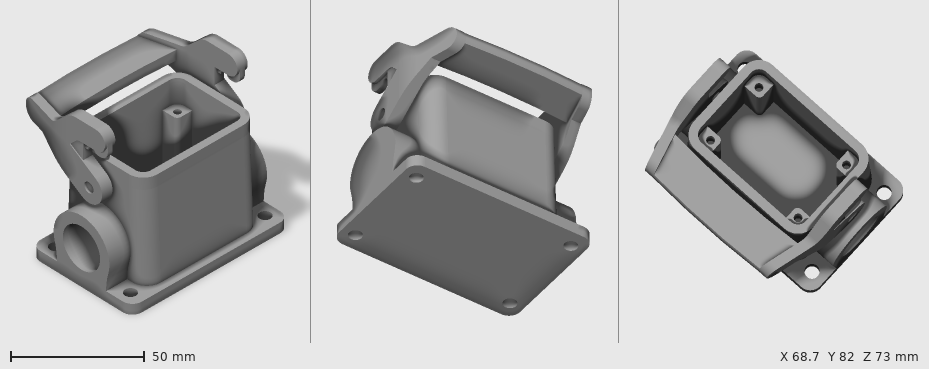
import cadquery as cq
import math

flange_x = 54.45
flange_y = 82.0
flange_thickness = 5.0
flange_corner_radius = 5.0
mount_hole_diameter = 5.65
mount_hole_pitch_x = 40.35
mount_hole_pitch_y = 70.0

shell_y = 60.0
shell_bottom_x = 46.9
shell_rim_x = 43.2
shell_corner_radius = 7.55
wall_thickness = 3.5
rim_start_z = 48.55
rim_top_z = 54.2

post_size = 7.8
post_corner_radius = 2.0
post_top_z = 42.0
post_hole_diameter = 3.3
post_hole_depth = 10.0
post_hole_pitch_x = 27.1
post_hole_pitch_y = 44.0

boss_radius = 15.0
boss_foot_half_width = 13.2
boss_center_z = 18.0
entry_diameter = 20.0

pivot_z = 44.1
pivot_pin_diameter = 4.1
pivot_socket_depth = 1.6
pivot_recess_diameter = 5.0
pivot_recess_depth = 1.0
arm_radius = 7.05
arm_angle = 32.0
handle_left_x = -40.7
handle_bottom_z = 53.55
handle_top_z = 63.55
handle_root_radius = 4.6

head_left_x = -9.9
head_right_x = 8.6
head_bottom_z = 63.05
head_top_z = 73.0
head_back_radius = 7.5
head_back_angle = 43.0
notch_depth_x = -10.3
notch_radius = 4.0
web_right_x = -3.6
web_inset = 0.5
hook_inset = 1.5
hook_bottom_z = 59.95
hook_nose_radius = 4.0
hook_slot_radius = 2.0
hook_lip_radius = 2.0

plate_outer_y = 37.15
plate_inner_y = 31.7
bend_angle = 15.0
outer_bend_x = -16.5
outer_bend_radius = 35.0
inner_bend_x = -20.75
inner_bend_radius = 17.5
plan_margin = 4.1

grip_left_x = -41.5
grip_right_x = -24.5
grip_thickness = 5.0
grip_bow_radius = 426.4
grip_sweep_angle = 10.0

shortest_line = 8.2e-07

handle_height = handle_top_z - handle_bottom_z
handle_mid_z = (handle_top_z + handle_bottom_z) / 2
handle_radius = handle_height / 2
head_radius = (head_top_z - head_bottom_z) / 2


def rounded_outline(plane, corners):
    """Closed wire through (u, v, radius) corners, each rounded by a tangent arc."""
    path = None
    count = len(corners)
    for index in range(count):
        radius = corners[index][2]
        corner = cq.Vector(*corners[index][:2])
        back = (cq.Vector(*corners[index - 1][:2]) - corner).normalized()
        ahead = (cq.Vector(*corners[(index + 1) % count][:2]) - corner).normalized()
        half_angle = back.getAngle(ahead) / 2
        tangent_length = radius / math.tan(half_angle)
        start = corner + back * tangent_length
        end = corner + ahead * tangent_length
        if path is None:
            path = cq.Workplane(plane).moveTo(start.x, start.y)
            last = start
        if (start - last).Length > shortest_line:
            path = path.lineTo(start.x, start.y)
        if radius > 0:
            bisector = (back + ahead).normalized()
            middle = corner + bisector * (radius / math.sin(half_angle) - radius)
            path = path.threePointArc((middle.x, middle.y), (end.x, end.y))
        last = end
    return path.close()


def rounded_box(size_x, size_y, corner_radius, bottom_z, top_z):
    box = cq.Workplane("XY").workplane(offset=bottom_z).rect(size_x, size_y).extrude(top_z - bottom_z)
    return box.edges("|Z").fillet(corner_radius)


def shell_body():
    """Tapered lower part carrying a straight rim."""
    bottom = cq.Sketch().rect(shell_bottom_x, shell_y).vertices().fillet(shell_corner_radius)
    top = cq.Sketch().rect(shell_rim_x, shell_y).vertices().fillet(shell_corner_radius)
    taper_height = rim_start_z - flange_thickness
    lower = (
        cq.Workplane("XY")
        .workplane(offset=flange_thickness)
        .placeSketch(bottom, top.moved(cq.Location(cq.Vector(0, 0, taper_height))))
        .loft()
    )
    return lower.union(rounded_box(shell_rim_x, shell_y, shell_corner_radius, rim_start_z, rim_top_z))


def screw_posts():
    """Four corner posts, reaching past the cavity walls so that they merge with them."""
    length = post_size + wall_thickness
    return (
        cq.Workplane("XY")
        .workplane(offset=flange_thickness)
        .rarray(shell_rim_x - length, shell_y - length, 2, 2)
        .rect(length, length)
        .extrude(post_top_z - flange_thickness)
        .edges("|Z")
        .fillet(post_corner_radius)
    )


def entry_bosses():
    """Round bosses with a foot flaring smoothly down to the flange."""
    drop = boss_center_z - flange_thickness
    flare_radius = (boss_foot_half_width**2 + drop**2 - boss_radius**2) / (
        2 * (boss_radius - boss_foot_half_width)
    )
    flare_center_x = boss_foot_half_width + flare_radius
    flare_angle = math.atan2(drop, flare_center_x)
    tangent_x = flare_center_x - flare_radius * math.cos(flare_angle)
    tangent_z = flange_thickness + flare_radius * math.sin(flare_angle)
    middle_x = flare_center_x - flare_radius * math.cos(flare_angle / 2)
    middle_z = flange_thickness + flare_radius * math.sin(flare_angle / 2)
    return (
        cq.Workplane("XZ")
        .moveTo(-boss_foot_half_width, flange_thickness)
        .threePointArc((-middle_x, middle_z), (-tangent_x, tangent_z))
        .threePointArc((0, boss_center_z + boss_radius), (tangent_x, tangent_z))
        .threePointArc((middle_x, middle_z), (boss_foot_half_width, flange_thickness))
        .close()
        .extrude(flange_y / 2, both=True)
    )


def pivot_cylinder(diameter, start_y, end_y):
    """Cylinder on the pivot axis between two Y positions."""
    return (
        cq.Workplane("XZ", origin=(0, start_y, pivot_z)).circle(diameter / 2).extrude(start_y - end_y)
    )


def make_housing():
    flange = rounded_box(flange_x, flange_y, flange_corner_radius, 0, flange_thickness)
    housing = flange.union(entry_bosses()).union(shell_body())
    cavity = rounded_box(
        shell_rim_x - 2 * wall_thickness,
        shell_y - 2 * wall_thickness,
        shell_corner_radius - wall_thickness,
        flange_thickness,
        rim_top_z,
    )
    housing = housing.cut(cavity.cut(screw_posts()))

    mount_holes = (
        cq.Workplane("XY")
        .rarray(mount_hole_pitch_x, mount_hole_pitch_y, 2, 2)
        .circle(mount_hole_diameter / 2)
        .extrude(flange_thickness)
    )
    post_holes = (
        cq.Workplane("XY")
        .workplane(offset=post_top_z)
        .rarray(post_hole_pitch_x, post_hole_pitch_y, 2, 2)
        .circle(post_hole_diameter / 2)
        .extrude(-post_hole_depth)
    )
    entry = cq.Workplane("XZ").center(0, boss_center_z).circle(entry_diameter / 2).extrude(flange_y / 2)
    housing = housing.cut(mount_holes).cut(post_holes).cut(entry)

    for side in (-1, 1):
        wall_y = side * shell_y / 2
        housing = housing.cut(pivot_cylinder(pivot_pin_diameter, wall_y, wall_y - side * pivot_socket_depth))
    return housing


def arm_point(along, across):
    """XZ point measured along the arm from the pivot, and across it (positive upwards)."""
    angle = math.radians(arm_angle)
    x = along * math.cos(angle) + across * math.sin(angle)
    z = pivot_z - along * math.sin(angle) + across * math.cos(angle)
    return x, z


def arm_edge_z(x, across):
    """Height at x of the line parallel to the arm and offset across it."""
    angle = math.radians(arm_angle)
    return pivot_z + across / math.cos(angle) - x * math.tan(angle)


def lever_profile():
    arm_bottom_x = (arm_edge_z(0, -arm_radius) - handle_bottom_z) / math.tan(math.radians(arm_angle))
    notch_z = arm_edge_z(notch_depth_x, arm_radius)
    notch_top_x = notch_depth_x + head_bottom_z - notch_z
    back_run = (head_top_z - handle_top_z) / math.tan(math.radians(head_back_angle))
    corners = [
        (arm_bottom_x, handle_bottom_z, 0),
        (*arm_point(arm_radius, -arm_radius), arm_radius),
        (*arm_point(arm_radius, arm_radius), arm_radius),
        (notch_depth_x, notch_z, 0),
        (notch_top_x, head_bottom_z, notch_radius),
        (head_right_x, head_bottom_z, head_radius),
        (head_right_x, head_top_z, head_radius),
        (head_left_x, head_top_z, head_back_radius),
        (head_left_x - back_run, handle_top_z, handle_root_radius),
        (handle_left_x, handle_top_z, handle_radius),
        (handle_left_x, handle_bottom_z, handle_radius),
    ]
    return rounded_outline("XZ", corners).extrude(plate_outer_y, both=True)


def bent_plan(half_y, bend_x, bend_radius):
    """Block whose Y sides are parallel, then converge towards -X."""
    left_x = grip_left_x - plan_margin
    left_half_y = half_y - (bend_x - left_x) * math.tan(math.radians(bend_angle))
    corners = [
        (left_x, -left_half_y, 0),
        (bend_x, -half_y, bend_radius),
        (head_right_x, -half_y, 0),
        (head_right_x, half_y, 0),
        (bend_x, half_y, bend_radius),
        (left_x, left_half_y, 0),
    ]
    return rounded_outline("XY", corners).extrude(head_top_z)


def lever_web(side):
    """Thin panel closing the notch, set back from the outer face."""
    thickness = plate_outer_y - web_inset - plate_inner_y
    return (
        cq.Workplane("XZ", origin=(0, side * plate_inner_y, 0))
        .moveTo(notch_depth_x, arm_edge_z(notch_depth_x, 0))
        .lineTo(web_right_x, arm_edge_z(web_right_x, 0))
        .lineTo(web_right_x, head_bottom_z + head_radius)
        .lineTo(notch_depth_x, head_bottom_z + head_radius)
        .close()
        .extrude(-side * thickness)
    )


def lever_hook(side):
    """Latching hook under the head, set back from both plate faces."""
    thickness = plate_outer_y - plate_inner_y - 2 * hook_inset
    left_x = web_right_x - hook_slot_radius
    top_z = head_bottom_z + head_radius
    corners = [
        (left_x, hook_bottom_z, 0),
        (head_right_x, hook_bottom_z, hook_nose_radius),
        (head_right_x, top_z, 0),
        (left_x, top_z, 0),
    ]
    hook = rounded_outline("XZ", corners).extrude(-thickness)
    slot = cq.Workplane("XZ").center(0, hook_bottom_z).circle(hook_slot_radius).extrude(-thickness)
    lip = cq.selectors.NearestToPointSelector((hook_slot_radius, thickness / 2, hook_bottom_z))
    hook = hook.cut(slot).edges(lip).fillet(hook_lip_radius)
    near_y = plate_inner_y + hook_inset if side > 0 else hook_inset - plate_outer_y
    return hook.translate((0, near_y, 0))


def lever_grip():
    """Flat slab with a rounded front, revolved about a distant axis to bow it."""
    axis_x = grip_left_x + grip_bow_radius
    half_thickness = grip_thickness / 2
    nose_x = grip_left_x + handle_radius - math.sqrt(handle_radius**2 - half_thickness**2)
    slab = (
        cq.Workplane("XZ")
        .moveTo(grip_right_x, handle_mid_z - half_thickness)
        .lineTo(nose_x, handle_mid_z - half_thickness)
        .threePointArc((grip_left_x, handle_mid_z), (nose_x, handle_mid_z + half_thickness))
        .lineTo(grip_right_x, handle_mid_z + half_thickness)
        .close()
        .revolve(grip_sweep_angle, (axis_x, 0, 0), (axis_x, 1, 0))
    )
    return slab.rotate((axis_x, 0, 0), (axis_x, 0, 1), -grip_sweep_angle / 2)


def make_lever():
    outer_plan = bent_plan(plate_outer_y, outer_bend_x, outer_bend_radius)
    inner_plan = bent_plan(plate_inner_y, inner_bend_x, inner_bend_radius)
    lever = lever_profile().intersect(outer_plan.cut(inner_plan))
    lever = lever.union(lever_grip().intersect(outer_plan))
    for side in (-1, 1):
        pin_end_y = side * (shell_y / 2 - pivot_socket_depth)
        recess_floor_y = side * (plate_outer_y - pivot_recess_depth)
        lever = lever.union(lever_web(side)).union(lever_hook(side))
        lever = lever.union(pivot_cylinder(pivot_pin_diameter, side * plate_inner_y, pin_end_y))
        lever = lever.cut(pivot_cylinder(pivot_recess_diameter, side * plate_outer_y, recess_floor_y))
    return lever


housing = make_housing()
lever = make_lever()
result = cq.Compound.makeCompound([housing.val(), lever.val()])